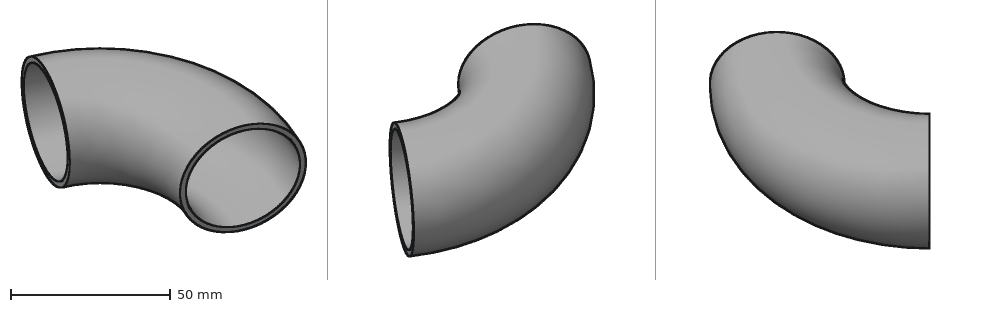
import cadquery as cq

overall_size = 69.2
outer_diameter = 42.4
wall_thickness = 2.0
bend_angle = 90.0

outer_radius = outer_diameter / 2
inner_radius = outer_radius - wall_thickness
bend_radius = overall_size - outer_radius

ring_section = (
    cq.Workplane("XZ")
    .center(-bend_radius, 0)
    .circle(outer_radius)
    .circle(inner_radius)
)

axis_start = (bend_radius, 0)
axis_end = (bend_radius, -1)
result = ring_section.revolve(bend_angle, axis_start, axis_end)